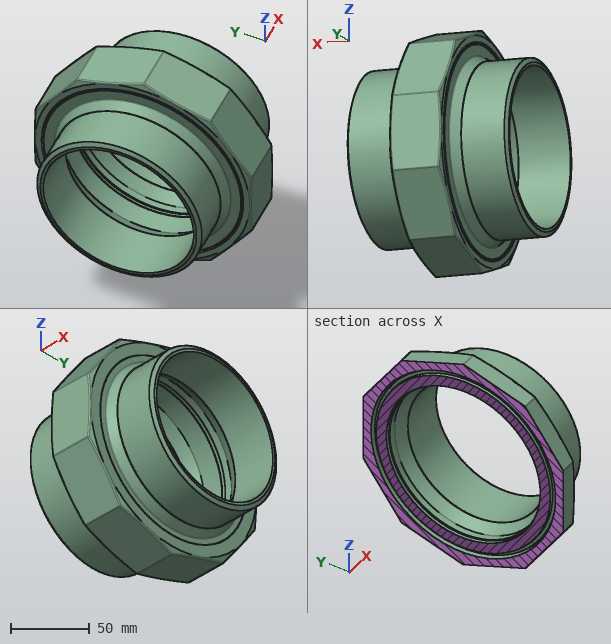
import cadquery as cq
import math


length = 110.0
left_end = -length / 2
right_end = length / 2

pipe_outer_radius = 114.3 / 2
pipe_bore_radius = 104.3 / 2
inner_bore_radius = 114.0 / 2
cone_slope = math.tan(math.radians(30))
shoulder_radius = 61.1
shoulder_cone_length = (shoulder_radius - pipe_outer_radius) / cone_slope
bore_cone_length = (inner_bore_radius - pipe_bore_radius) / cone_slope
bend_radius = 0.5
weld_bevel_height = 3.0
weld_bevel_length = weld_bevel_height * cone_slope

nut_sides = 10
nut_across_flats = 150.0
nut_left = -17.0
nut_right = 18.0
nut_corner_fillet = 1.0
nut_face_radius = 74.2
nut_chamfer_slope = math.tan(math.radians(20))
nut_edge_fillet = 1.0
nut_lip_thickness = 6.0
nut_lip_radius = 131.5 / 2
lip_left = nut_right - nut_lip_thickness

thread_radius = 138.0 / 2
thread_mouth_radius = 140.0 / 2
thread_tip_radius = 136.75 / 2
thread_chamfer = thread_radius - thread_tip_radius
mouth_chamfer = thread_mouth_radius - thread_radius

gasket_left = 4.4
gasket_right = 7.0
gasket_bore_radius = 115.0 / 2
gasket_outer_radius = 131.0 / 2

bore_mouth_chamfer = 0.5
collar_radius = 136.0 / 2
tail_radius = 131.0 / 2

left_bore_cone_end = -11.2
right_bore_cone_start = 12.8


def revolve_about_x(points):
    """Turn a closed (x, radius) outline about the X axis."""
    axis_start = (0, 0, 0)
    axis_end = (1, 0, 0)
    return cq.Workplane("XY").polyline(points).close().revolve(360, axis_start, axis_end)


def round_bends(body, bends):
    """Round the circular edges that pass through the given (x, radius) outline points."""
    tolerance = 0.01
    for x, radius in bends:
        circles = [
            edge for edge in body.edges("%CIRCLE").vals()
            if abs(edge.Center().x - x) < tolerance and abs(edge.radius() - radius) < tolerance
        ]
        body = body.newObject(circles).fillet(bend_radius)
    return body


def make_threaded_end():
    outer_bend = (nut_left - shoulder_cone_length, pipe_outer_radius)
    shoulder_corner = (nut_left, shoulder_radius)
    bore_cone_wide = (left_bore_cone_end, inner_bore_radius)
    bore_cone_narrow = (left_bore_cone_end - bore_cone_length, pipe_bore_radius)
    body = revolve_about_x([
        (left_end, pipe_bore_radius),
        (left_end, pipe_outer_radius - weld_bevel_height),
        (left_end + weld_bevel_length, pipe_outer_radius),
        outer_bend,
        shoulder_corner,
        (nut_left, thread_tip_radius),
        (nut_left + thread_chamfer, thread_radius),
        (gasket_left, thread_radius),
        (gasket_left, inner_bore_radius),
        bore_cone_wide,
        bore_cone_narrow,
    ])
    return round_bends(body, [outer_bend, shoulder_corner, bore_cone_wide, bore_cone_narrow])


def make_tail_end():
    outer_bend = (nut_right + shoulder_cone_length, pipe_outer_radius)
    shoulder_corner = (nut_right, shoulder_radius)
    bore_cone_wide = (right_bore_cone_start, inner_bore_radius)
    bore_cone_narrow = (right_bore_cone_start + bore_cone_length, pipe_bore_radius)
    body = revolve_about_x([
        (right_end, pipe_bore_radius),
        (right_end, pipe_outer_radius - weld_bevel_height),
        (right_end - weld_bevel_length, pipe_outer_radius),
        outer_bend,
        shoulder_corner,
        (nut_right, tail_radius),
        (lip_left, tail_radius),
        (lip_left, collar_radius),
        (gasket_right, collar_radius),
        (gasket_right, inner_bore_radius + bore_mouth_chamfer),
        (gasket_right + bore_mouth_chamfer, inner_bore_radius),
        bore_cone_wide,
        bore_cone_narrow,
    ])
    return round_bends(body, [outer_bend, shoulder_corner, bore_cone_wide, bore_cone_narrow])


def make_gasket():
    return revolve_about_x([
        (gasket_left, gasket_bore_radius),
        (gasket_left, gasket_outer_radius),
        (gasket_right, gasket_outer_radius),
        (gasket_right, gasket_bore_radius),
    ])


def make_nut():
    across_corners = nut_across_flats / math.cos(math.pi / nut_sides)
    prism = (
        cq.Workplane("YZ", origin=(nut_left, 0, 0))
        .transformed(rotate=(0, 0, 90))
        .polygon(nut_sides, across_corners)
        .extrude(nut_right - nut_left)
        .edges("|X")
        .fillet(nut_corner_fillet)
    )

    cone_clearance = 1.0
    cone_radius = across_corners / 2 + cone_clearance
    cone_length = (cone_radius - nut_face_radius) * nut_chamfer_slope
    chamfer_envelope = revolve_about_x([
        (nut_left, 0),
        (nut_left, nut_face_radius),
        (nut_left + cone_length, cone_radius),
        (nut_right - cone_length, cone_radius),
        (nut_right, nut_face_radius),
        (nut_right, 0),
    ])
    outside = prism.intersect(chamfer_envelope)
    rims = outside.faces("%CONE").edges("not %CIRCLE")
    outside = rims.fillet(nut_edge_fillet)

    bore = revolve_about_x([
        (nut_left, 0),
        (nut_left, thread_mouth_radius),
        (nut_left + mouth_chamfer, thread_radius),
        (lip_left, thread_radius),
        (lip_left, nut_lip_radius),
        (nut_right, nut_lip_radius),
        (nut_right, 0),
    ])
    return outside.cut(bore)


threaded_end = make_threaded_end()
tail_end = make_tail_end()
gasket = make_gasket()
nut = make_nut()

result = cq.Compound.makeCompound([threaded_end.val(), tail_end.val(), gasket.val(), nut.val()])